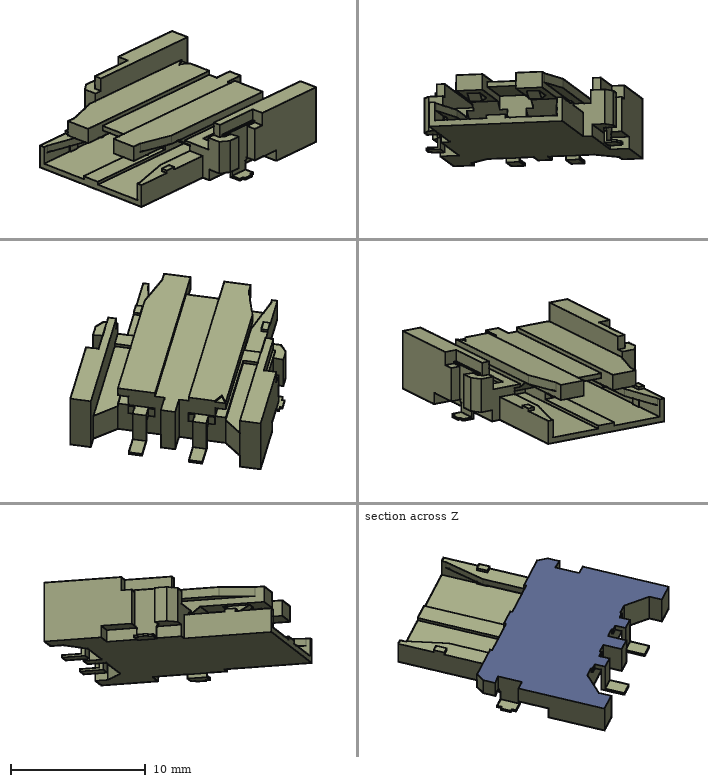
import cadquery as cq

length = 17.0
overall_width = 14.8
tail_drop = 0.19

tray_half_width = 5.08
tray_height = 1.8
tray_floor = 0.45
rib_half_width = 0.71
rib_top = 0.68
mouth_half_width = 4.65
mouth_depth = 0.34
throat_half_width = 3.79
throat_start = 3.54
undercut_top = 1.24
nub_width = 0.51
nub_start = 2.8
nub_length = 0.83
nub_rise = 0.2

body_front = 6.78
body_rear = 14.57
deck_height = 2.5
deck_recess_start = 7.95
deck_recess_depth = 0.25
deck_flare_rear = 16.01
cavity_end = 10.2
cavity_ceiling = 1.78
hood_bottom = 1.19

wall_inner = 5.65
wall_outer = 7.2
wall_top = 4.5
corner_width = 0.5
corner_length = 0.68
shoulder_height = 3.48
upper_wall_front = 7.4
shoulder_rear = 11.03
slot_front = 8.42
slot_rear = 10.2
slot_slant = 0.07
foot_notch_inner = 5.76
foot_notch_height = 0.88
foot_notch_rear = 12.58

clip_inner = 6.25
clip_outer = 6.45
clip_front = 7.65
clip_top = 3.62
leg_front = 8.53
leg_rear = 10.03
leg_taper = 0.22
foot_thickness = 0.15
foot_tip = overall_width / 2
foot_tip_front = 8.9
foot_tip_rear = 9.7

beam_inner = 1.28
beam_outer = 4.08
beam_tip_outer = 3.28
beam_top = 4.0
beam_flange_bottom = 3.3
beam_bottom = 2.8
beam_tip = 1.12
beam_taper_start = 1.84
beam_taper_end = 4.42
ramp_start = 6.09
ramp_slope = 0.75
ramp_foot = beam_bottom - ramp_slope * (body_front - ramp_start)
web_front = 2.74
web_top = 3.67
web_prong_half_width = 0.55

bump_center = 2.26
bump_width = 0.95
bump_front = 2.41
bump_peak = 3.23
bump_rear = 4.5
bump_bottom = 2.35

pin_center = 2.28
pin_width = 1.02
pin_flange_rear = 14.69
pin_riser_rear = 15.5
pin_riser_front = 15.18

mark_center = -3.65
mark_width = 0.8
mark_length = 0.71
mark_depth = 0.1


def block(x_range, y_range, z_range):
    """Box from pairs of start and end coordinates."""
    sizes = [end - start for start, end in (x_range, y_range, z_range)]
    corner = (x_range[0], y_range[0], z_range[0])
    return cq.Workplane("XY").box(*sizes, centered=False).translate(corner)


def plan_prism(points, z_range):
    """Outline in (X, Y), raised through z_range."""
    bottom, top = z_range
    return cq.Workplane("XY", origin=(0, 0, bottom)).polyline(points).close().extrude(top - bottom)


def side_prism(points, x_range):
    """Outline in (Y, Z), extended through x_range."""
    inner, outer = x_range
    return cq.Workplane("YZ", origin=(inner, 0, 0)).polyline(points).close().extrude(outer - inner)


def make_tray():
    tray = block((0, tray_half_width), (0, body_front), (0, tray_height))
    opening = plan_prism(
        [
            (0, 0),
            (mouth_half_width, 0),
            (mouth_half_width, mouth_depth),
            (throat_half_width, throat_start),
            (throat_half_width, body_front),
            (0, body_front),
        ],
        (tray_floor, tray_height),
    )
    undercut = block((0, mouth_half_width), (0, body_front), (tray_floor, undercut_top))
    nub = block(
        (tray_half_width - nub_width, tray_half_width),
        (nub_start, nub_start + nub_length),
        (0, tray_height + nub_rise),
    )
    rib = block((0, rib_half_width), (0, body_front), (0, rib_top))
    return tray.cut(opening).cut(undercut).union(nub).union(rib)


def make_body():
    deck = plan_prism(
        [
            (0, body_front),
            (wall_inner, body_front),
            (wall_inner, deck_flare_rear),
            (beam_outer, body_rear),
            (0, body_rear),
        ],
        (0, deck_height),
    )
    recess = block(
        (beam_outer, wall_inner),
        (deck_recess_start, deck_flare_rear),
        (deck_height - deck_recess_depth, deck_height),
    )
    return deck.cut(recess)


def make_wall():
    wall = plan_prism(
        [
            (wall_inner, body_front),
            (wall_outer - corner_width, body_front),
            (wall_outer, body_front + corner_length),
            (wall_outer, length),
            (wall_inner, length),
        ],
        (0, wall_top),
    )
    front_step = block((wall_inner, wall_outer), (body_front, upper_wall_front), (shoulder_height, wall_top))
    shoulder = block((clip_inner, wall_outer), (body_front, shoulder_rear), (shoulder_height, wall_top))
    slot = plan_prism(
        [
            (clip_outer, slot_front - slot_slant),
            (wall_outer, slot_front),
            (wall_outer, slot_rear),
            (clip_outer, slot_rear),
        ],
        (0, shoulder_height),
    )
    foot_notch = block((foot_notch_inner, wall_outer), (body_front, foot_notch_rear), (0, foot_notch_height))
    return wall.cut(front_step).cut(shoulder).cut(slot).cut(foot_notch)


def make_clip():
    plate = block((clip_inner, clip_outer), (clip_front, shoulder_rear), (foot_notch_height, clip_top))
    leg = side_prism(
        [
            (leg_front, -tail_drop),
            (leg_rear, -tail_drop),
            (leg_rear, foot_notch_height - leg_taper),
            (slot_rear, foot_notch_height),
            (slot_front, foot_notch_height),
            (leg_front, foot_notch_height - leg_taper),
        ],
        (clip_inner, clip_outer),
    )
    foot_level = (-tail_drop, foot_thickness - tail_drop)
    foot = block((clip_inner, wall_outer), (leg_front, leg_rear), foot_level)
    tip = block((clip_inner, foot_tip), (foot_tip_front, foot_tip_rear), foot_level)
    return plate.union(leg).union(foot).union(tip)


def make_beam():
    flange = plan_prism(
        [
            (beam_inner, beam_tip),
            (beam_tip_outer, beam_tip),
            (beam_tip_outer, beam_taper_start),
            (beam_outer, beam_taper_end),
            (beam_outer, body_rear),
            (beam_inner, body_rear),
        ],
        (beam_flange_bottom, beam_top),
    )
    core = side_prism(
        [
            (beam_tip, beam_flange_bottom),
            (beam_tip, beam_bottom),
            (ramp_start, beam_bottom),
            (body_front, ramp_foot),
            (body_rear, ramp_foot),
            (body_rear, beam_flange_bottom),
        ],
        (beam_inner, beam_tip_outer),
    )
    bump = side_prism(
        [(bump_front, beam_bottom), (bump_peak, bump_bottom), (bump_rear, beam_bottom)],
        (bump_center - bump_width / 2, bump_center + bump_width / 2),
    )
    return flange.union(core).union(bump)


def make_web():
    body_part = block((0, beam_inner), (body_front, body_rear), (0, web_top))
    tongue = block((0, beam_inner), (web_front, body_front), (beam_flange_bottom, web_top))
    prong = block((0, web_prong_half_width), (body_rear, deck_flare_rear), (0, web_top))
    return body_part.union(tongue).union(prong)


def make_cavity():
    """Opening in the front of the body, its ceiling falling in line with the beam ramp."""
    ramp_end = ramp_start + (beam_bottom - cavity_ceiling) / ramp_slope
    side = side_prism(
        [
            (body_front, tray_floor),
            (body_front, ramp_foot),
            (ramp_end, cavity_ceiling),
            (cavity_end, cavity_ceiling),
            (cavity_end, tray_floor),
        ],
        (rib_half_width, throat_half_width),
    )
    lower_groove = block(
        (throat_half_width, mouth_half_width), (body_front, cavity_end), (tray_floor, undercut_top)
    )
    middle = block((0, rib_half_width), (body_front, ramp_end), (rib_top, hood_bottom))
    return side.union(lower_groove).union(middle)


def make_pin():
    pin_sides = (pin_center - pin_width / 2, pin_center + pin_width / 2)
    flange = block((beam_inner, beam_tip_outer), (body_rear, pin_flange_rear), (cavity_ceiling, deck_height))
    strip = side_prism(
        [
            (body_rear, cavity_ceiling),
            (pin_riser_front, cavity_ceiling),
            (pin_riser_front, -tail_drop),
            (length, -tail_drop),
            (length, 0),
            (pin_riser_rear, 0),
            (pin_riser_rear, deck_height),
            (body_rear, deck_height),
        ],
        pin_sides,
    )
    return flange.union(strip)


def make_mark():
    return plan_prism(
        [
            (mark_center - mark_width / 2, body_rear),
            (mark_center, body_rear - mark_length),
            (mark_center + mark_width / 2, body_rear),
        ],
        (beam_top - mark_depth, beam_top),
    )


half = make_body().union(make_web()).union(make_beam()).cut(make_cavity())
for piece in (make_tray(), make_wall(), make_clip(), make_pin()):
    half = half.union(piece)

result = half.union(half.mirror("YZ")).cut(make_mark()).clean()